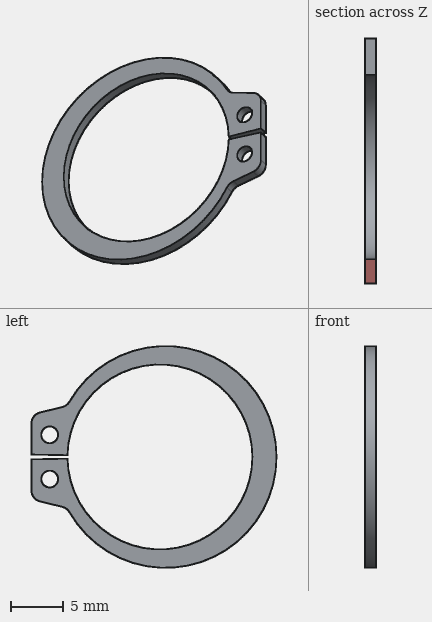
import cadquery as cq
import math

thickness = 1.07

outer_radius = 10.585
bore_radius = 8.805
outer_center_y = -0.545

overall_length = 23.39
lug_tip_y = overall_length - outer_radius + outer_center_y
lug_tip_half_height = 4.045
lug_flank_angle = 13.8
lug_fillet_radius = 1.1
slit_tip_width = 0.43

hole_diameter = 1.58
hole_y = 10.51
hole_z = 2.11


def sketch_plane():
    """Plane of the ring's -X face."""
    return cq.Workplane("YZ", origin=(-thickness / 2, 0, 0))


def make_lug_block():
    """Both lugs as one trapezoid that reaches back to the bore axis, with rounded tip corners."""
    base_half_height = lug_tip_half_height + lug_tip_y * math.tan(math.radians(lug_flank_angle))
    outline = [
        (0, -base_half_height),
        (lug_tip_y, -lug_tip_half_height),
        (lug_tip_y, lug_tip_half_height),
        (0, base_half_height),
    ]
    block = sketch_plane().polyline(outline).close().extrude(thickness)
    return block.edges("|X").edges(">Y").fillet(lug_fillet_radius)


def make_ring_blank():
    """Disc joined to the lug block, with the two corners at the lug roots rounded."""
    disc = sketch_plane().center(outer_center_y, 0).circle(outer_radius).extrude(thickness)
    blank = disc.union(make_lug_block())
    return blank.edges("|X").edges("<Y").fillet(lug_fillet_radius)


def make_bore():
    return sketch_plane().circle(bore_radius).extrude(thickness)


def make_slit():
    """Thin wedge that widens from the bore axis to the lug tips."""
    outline = [
        (0, 0),
        (lug_tip_y, -slit_tip_width / 2),
        (lug_tip_y, slit_tip_width / 2),
    ]
    return sketch_plane().polyline(outline).close().extrude(thickness)


def make_plier_holes():
    centers = [(hole_y, hole_z), (hole_y, -hole_z)]
    return sketch_plane().pushPoints(centers).circle(hole_diameter / 2).extrude(thickness)


result = make_ring_blank().cut(make_bore()).cut(make_slit()).cut(make_plier_holes())